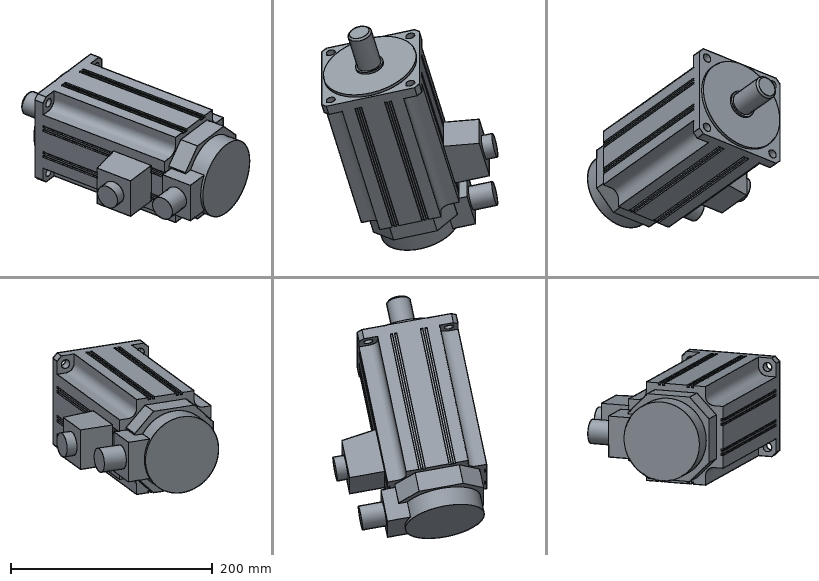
import cadquery as cq

COLLAR_START = 39.5
PILOT_START = 41.6
FLANGE_START = 44.5
FRAME_START = 54.7
FRAME_END = 202.5
ENCODER_BASE_END = 223.0
MOTOR_END = 242.0

SHAFT_DIAMETER = 24.0
SHAFT_CHAMFER = 2.0
COLLAR_RADIUS = 14.0

FRAME_WIDTH = 100.0
HALF_WIDTH = FRAME_WIDTH / 2
PILOT_RADIUS = 47.5
FLANGE_CHAMFER = 4.8
HOLE_OFFSET = 40.7
HOLE_DIAMETER = 9.0

CORNER_RADIUS = HALF_WIDTH - HOLE_OFFSET
CORNER_NOTCH = 2 * CORNER_RADIUS
GROOVE_WIDTH = 2.2
GROOVE_DEPTH = 2.2
GROOVE_OFFSETS = (13.0, 17.5)

ENCODER_BASE_WIDTH = 85.7
ENCODER_BASE_CHAMFER = 20.5
ENCODER_CAP_RADIUS = 40.0

OVERALL_DEPTH = 146.0
CONNECTOR_HEIGHT = 41.6
PLUG_DIAMETER = 24.2
POWER_BOX_FRONT = 140.4
POWER_BOX_REAR = 186.3
POWER_BOX_TAPER = 5.3
POWER_BOX_FACE = 85.2
POWER_PLUG_X = 166.0
POWER_PLUG_FACE = OVERALL_DEPTH - HALF_WIDTH
SIGNAL_BOX_FRONT = 205.2
SIGNAL_BOX_REAR = 239.3
SIGNAL_BOX_FACE = 57.4
SIGNAL_PLUG_X = 222.5
SIGNAL_PLUG_FACE = 81.3


def section_plane(x):
    """Plane across the motor axis at station x, with its normal along +X."""
    return cq.Workplane("YZ", origin=(x, 0, 0))


def disc(radius, start, end):
    return section_plane(start).circle(radius).extrude(end - start)


def chamfered_square(width, chamfer, start, end):
    block = section_plane(start).rect(width, width).extrude(end - start)
    return block.edges("|X").chamfer(chamfer)


def make_shaft():
    """Output shaft with a chamfered tip and a collar seated against the pilot face."""
    shaft = disc(SHAFT_DIAMETER / 2, 0, PILOT_START).faces("<X").chamfer(SHAFT_CHAMFER)
    return shaft.union(disc(COLLAR_RADIUS, COLLAR_START, PILOT_START))


def make_flange():
    """Square mounting flange with a round pilot and four bolt holes."""
    plate = chamfered_square(FRAME_WIDTH, FLANGE_CHAMFER, FLANGE_START, FRAME_START)
    holes = (
        section_plane(FLANGE_START)
        .rect(2 * HOLE_OFFSET, 2 * HOLE_OFFSET, forConstruction=True)
        .vertices()
        .circle(HOLE_DIAMETER / 2)
        .extrude(FRAME_START - FLANGE_START)
    )
    return plate.cut(holes).union(disc(PILOT_RADIUS, PILOT_START, FLANGE_START))


def make_corner_notches():
    """Square notches along the four frame corners, each with a rounded inner edge."""
    reach = 2 * CORNER_NOTCH
    notches = (
        section_plane(FRAME_START)
        .rect(FRAME_WIDTH, FRAME_WIDTH, forConstruction=True)
        .vertices()
        .rect(reach, reach)
        .extrude(FRAME_END - FRAME_START)
    )
    return notches.edges("|X").fillet(CORNER_RADIUS)


def make_grooves():
    """Two pairs of parallel grooves along each of the four frame sides."""
    length = FRAME_END - FRAME_START
    places = [(side * offset, HALF_WIDTH) for side in (-1, 1) for offset in GROOVE_OFFSETS]
    one_side = (
        section_plane(FRAME_START)
        .pushPoints(places)
        .rect(GROOVE_WIDTH, 2 * GROOVE_DEPTH)
        .extrude(length)
    )
    grooves = one_side
    for angle in (90, 180, 270):
        grooves = grooves.union(one_side.rotate((0, 0, 0), (1, 0, 0), angle))
    return grooves


def make_frame():
    frame = section_plane(FRAME_START).rect(FRAME_WIDTH, FRAME_WIDTH).extrude(FRAME_END - FRAME_START)
    return frame.cut(make_corner_notches()).cut(make_grooves())


def make_encoder():
    """Eight-sided base and round cap behind the frame."""
    base = chamfered_square(ENCODER_BASE_WIDTH, ENCODER_BASE_CHAMFER, FRAME_END, ENCODER_BASE_END)
    return base.union(disc(ENCODER_CAP_RADIUS, ENCODER_BASE_END, MOTOR_END))


def make_plug(x, root, face):
    """Round cable plug pointing along -Y, from its root to its outer face."""
    return cq.Workplane("XZ", origin=(x, -root, 0)).circle(PLUG_DIAMETER / 2).extrude(face - root)


def make_power_connector():
    """Box on the frame side with a sloping front face, and its plug."""
    outline = [
        (POWER_BOX_FRONT, -HALF_WIDTH),
        (POWER_BOX_FRONT + POWER_BOX_TAPER, -POWER_BOX_FACE),
        (POWER_BOX_REAR, -POWER_BOX_FACE),
        (POWER_BOX_REAR, -HALF_WIDTH),
    ]
    box = cq.Workplane("XY").polyline(outline).close().extrude(CONNECTOR_HEIGHT / 2, both=True)
    return box.union(make_plug(POWER_PLUG_X, POWER_BOX_FACE, POWER_PLUG_FACE))


def make_signal_connector():
    """Box running into the encoder as far as the motor axis, and its plug."""
    length = SIGNAL_BOX_REAR - SIGNAL_BOX_FRONT
    box = cq.Workplane("XY").box(length, SIGNAL_BOX_FACE, CONNECTOR_HEIGHT)
    box = box.translate((SIGNAL_BOX_FRONT + length / 2, -SIGNAL_BOX_FACE / 2, 0))
    return box.union(make_plug(SIGNAL_PLUG_X, SIGNAL_BOX_FACE, SIGNAL_PLUG_FACE))


def make_motor():
    motor = make_flange().union(make_frame()).union(make_encoder())
    return motor.union(make_power_connector()).union(make_signal_connector())


shaft = make_shaft()
motor = make_motor()
result = cq.Compound.makeCompound([motor.val(), shaft.val()])